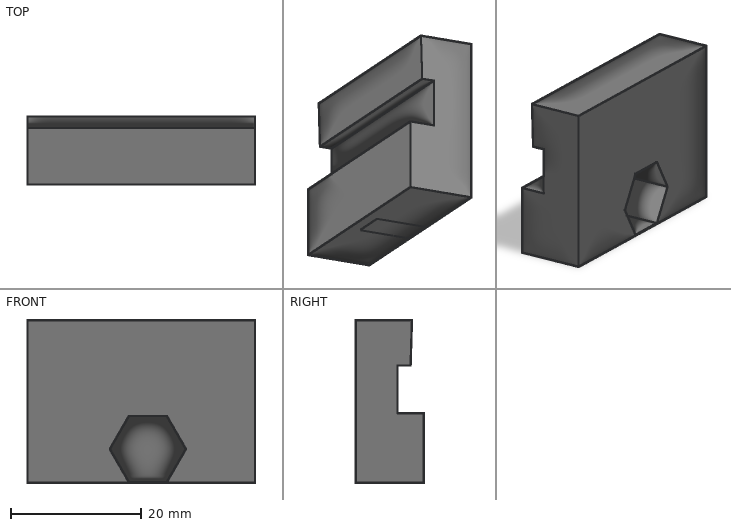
import cadquery as cq
import math

length = 35.0
base_depth = 10.5
height = 25.0

slot_floor_y = 6.48
slot_bottom_z = 10.7
slot_top_z = 18.0
lip_top_y = 8.68
lip_bottom_y = 8.47

hex_center_x = 18.5
hex_center_z = 5.18
hex_across_flats = 10.1
hex_depth = 8.4


def make_body():
    """Extrude the stepped side profile along the length."""
    profile = [
        (0, 0),
        (base_depth, 0),
        (base_depth, slot_bottom_z),
        (slot_floor_y, slot_bottom_z),
        (slot_floor_y, slot_top_z),
        (lip_bottom_y, slot_top_z),
        (lip_top_y, height),
        (0, height),
    ]
    return cq.Workplane("YZ").polyline(profile).close().extrude(length)


def make_hex_pocket():
    """Hexagonal prism reaching back from the front face."""
    across_corners = hex_across_flats / math.cos(math.pi / 6)
    return (
        cq.Workplane("XZ")
        .center(hex_center_x, hex_center_z)
        .polygon(6, across_corners)
        .extrude(-hex_depth)
    )


result = make_body().cut(make_hex_pocket())